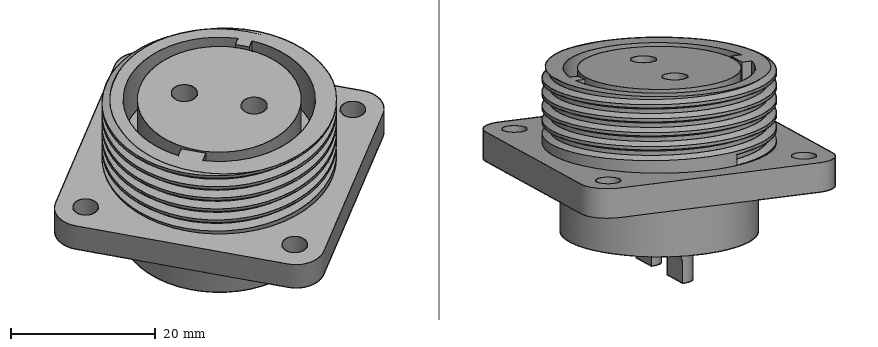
import cadquery as cq
import math

flange_side = 38.5
flange_thickness = 4.25
flange_corner_radius = 4.0
mount_hole_pitch = 30.0
mount_hole_diameter = 3.5

pin_length = 5.7
rear_body_length = 8.45
shell_length = 10.65
flange_bottom = pin_length + rear_body_length
flange_top = flange_bottom + flange_thickness
shell_top = flange_top + shell_length

rear_body_diameter = 27.5

thread_major_radius = 16.2
thread_minor_radius = 15.13
thread_pitch = 2.0
thread_crest_width = 0.45
thread_root_width = 0.6
thread_start_angle = 195.8
thread_start_height = 0.8
cutter_overshoot = 0.2
shell_seam_angle = 100.0

recess_diameter = 26.55
insert_diameter = 22.65
recess_depth = 7.7

key_overlap = 0.4
narrow_key_width = 2.0
narrow_key_tip = 11.9
wide_key_width = 3.55
wide_key_tip = 11.6
wide_key_offset = -0.45

contact_pitch = 10.0
socket_diameter = 3.6
socket_depth = 7.7
pin_diameter = 5.0
pin_shoulder = 0.55
contact_points = [(-contact_pitch / 2, 0), (contact_pitch / 2, 0)]


def make_thread_groove():
    """Right-handed helical cutter that runs from its blunt start out through the top of the shell."""
    start_z = flange_top + thread_start_height
    helix_height = shell_top + thread_pitch - start_z
    helix = cq.Wire.makeHelix(thread_pitch, helix_height, thread_minor_radius)

    thread_depth = thread_major_radius - thread_minor_radius
    root_half = thread_root_width / 2
    mouth_half = (thread_pitch - thread_crest_width) / 2
    outer_half = mouth_half + cutter_overshoot * (mouth_half - root_half) / thread_depth
    outer_radius = thread_major_radius + cutter_overshoot
    groove = (
        cq.Workplane("XZ")
        .polyline([
            (thread_minor_radius, -root_half),
            (outer_radius, -outer_half),
            (outer_radius, outer_half),
            (thread_minor_radius, root_half),
        ])
        .close()
        .sweep(cq.Workplane(helix), isFrenet=True)
    )
    return groove.rotate((0, 0, 0), (0, 0, 1), thread_start_angle).translate((0, 0, start_z))


def make_shell():
    """Solid threaded cylinder; its seam is turned clear of the groove start so that the cut succeeds."""
    shell = cq.Workplane().workplane(offset=flange_top).circle(thread_major_radius).extrude(shell_length)
    shell = shell.rotate((0, 0, 0), (0, 0, 1), shell_seam_angle)
    return shell.cut(make_thread_groove())


def make_flange():
    return (
        cq.Workplane()
        .workplane(offset=flange_bottom)
        .rect(flange_side, flange_side)
        .extrude(flange_thickness)
        .edges("|Z")
        .fillet(flange_corner_radius)
        .faces(">Z")
        .workplane()
        .rect(mount_hole_pitch, mount_hole_pitch, forConstruction=True)
        .vertices()
        .hole(mount_hole_diameter)
    )


def make_rear_body():
    return cq.Workplane().workplane(offset=pin_length).circle(rear_body_diameter / 2).extrude(rear_body_length)


def make_recess():
    return (
        cq.Workplane()
        .workplane(offset=shell_top - recess_depth)
        .circle(recess_diameter / 2)
        .circle(insert_diameter / 2)
        .extrude(recess_depth)
    )


def make_key(width, tip, side, offset=0.0):
    """Key from the recess wall to the tip distance; side is +1 for the +Y wall and -1 for the -Y wall."""
    length = recess_diameter / 2 + key_overlap - tip
    return (
        cq.Workplane()
        .workplane(offset=shell_top - recess_depth)
        .center(offset, side * (tip + length / 2))
        .rect(width, length)
        .extrude(recess_depth)
    )


def make_sockets():
    return (
        cq.Workplane()
        .workplane(offset=shell_top - socket_depth)
        .pushPoints(contact_points)
        .circle(socket_diameter / 2)
        .extrude(socket_depth)
    )


def make_pins():
    """Solder pins: the +Y half is cut away, with a concave run-out below a short full-round shoulder."""
    pins = cq.Workplane().pushPoints(contact_points).circle(pin_diameter / 2).extrude(pin_length)
    runout_radius = pin_diameter / 2
    shoulder_z = pin_length - pin_shoulder
    arc_z = shoulder_z - runout_radius
    arc_mid = runout_radius * math.sqrt(0.5)
    relief = (
        cq.Workplane("YZ")
        .lineTo(runout_radius, 0)
        .lineTo(runout_radius, shoulder_z)
        .threePointArc((runout_radius - arc_mid, arc_z + arc_mid), (0, arc_z))
        .close()
        .extrude(flange_side / 2, both=True)
    )
    return pins.cut(relief)


result = (
    make_flange()
    .union(make_shell())
    .union(make_rear_body())
    .cut(make_recess())
    .union(make_key(narrow_key_width, narrow_key_tip, 1))
    .union(make_key(wide_key_width, wide_key_tip, -1, wide_key_offset))
    .cut(make_sockets())
    .union(make_pins())
)